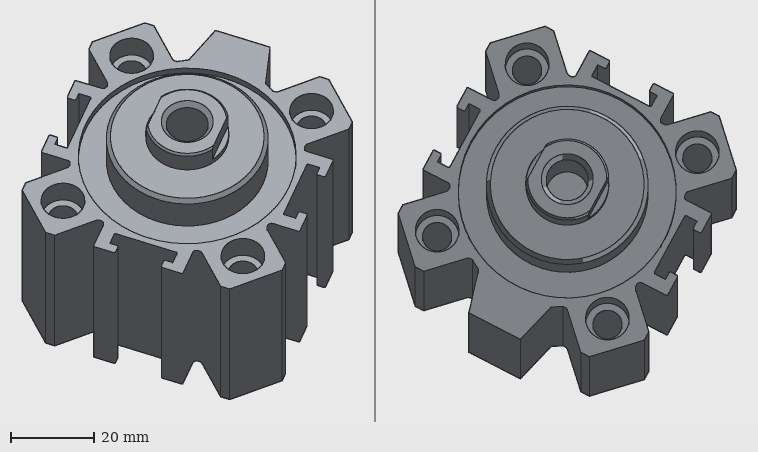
import cadquery as cq
import math

overall_length = 71.0
housing_height = 45.0
collar_top = 53.0
rod_top = 59.0

lug_reach = 33.5
lug_flat_start = 21.4
lug_flat_end = 23.7
valley_depth = 25.5
valley_corner = valley_depth - (lug_reach - lug_flat_start)
lug_root_radius = 1.2

rail_reach = 33.3
rail_half_width = 11.5
rail_root_radius = 1.0
rail_corner_radius = 0.3
slot_half_width = 8.1
slot_mouth_half_width = 5.9
slot_floor = 27.8
lip_underside = 31.0
lip_radius = 0.4
slot_corner_radius = 0.35

boss_reach = overall_length - lug_reach
boss_top_half_width = 7.0
boss_foot_half_width = 9.9
boss_foot = 27.0
boss_valley = 12.35
boss_foot_radius = 0.5

mount_spacing = 46.35
mount_diameter = 7.0
counterbore_diameter = 10.5
counterbore_depth = 6.8

recess_diameter = 52.5
recess_depth = 2.0
collar_diameter = 39.0
collar_chamfer = 1.0

rod_diameter = 20.0
rod_bottom = housing_height - recess_depth
rod_chamfer = 0.5
flat_width = 17.0
flat_height = 4.55
rod_hole_diameter = 10.1
rod_hole_mouth = 12.5
rod_hole_depth = 15.0


def turned(points, angle):
    """Rotate points about the Z axis by an angle in degrees."""
    c = math.cos(math.radians(angle))
    s = math.sin(math.radians(angle))
    return [(x * c - y * s, x * s + y * c) for x, y in points]


def mirrored(half):
    """Complete a side that is symmetric about the Y axis, from its +X half."""
    return half + [(-x, y) for x, y in reversed(half)]


lug_tip = [(lug_flat_end, lug_reach), (lug_flat_start, lug_reach)]
lug_root = (valley_corner, valley_depth)
rail_root = (rail_half_width, valley_depth)
rail_corner = (rail_half_width, rail_reach)
lip_corners = [(slot_mouth_half_width, rail_reach), (slot_mouth_half_width, lip_underside)]
slot_corner = (slot_half_width, slot_floor)
boss_foot_corner = (boss_foot_half_width, boss_foot)
rail_half = [
    lug_root,
    rail_root,
    rail_corner,
    *lip_corners,
    (slot_half_width, lip_underside),
    slot_corner,
]
boss_half = [
    lug_root,
    (boss_valley, valley_depth),
    boss_foot_corner,
    (boss_top_half_width, boss_reach),
]
rail_angles = (90, 180, 270)


def housing_outline():
    """Closed outline, running anticlockwise from the +Y side."""
    outline = []
    for angle in (0, *rail_angles):
        half = boss_half if angle == 0 else rail_half
        side = mirrored(lug_tip + half)
        outline += turned(side, angle)
    return outline


def fillet_uprights(body, points, radius):
    """Round the upright edges of the block standing at the given points."""
    uprights = body.edges("|Z")
    edges = [
        uprights.edges(cq.NearestToPointSelector((x, y, housing_height / 2))).val()
        for x, y in points
    ]
    return body.newObject(edges).fillet(radius)


def make_block():
    block = cq.Workplane("XY").polyline(housing_outline()).close().extrude(housing_height)
    for angle in (0, *rail_angles):
        block = fillet_uprights(block, turned(mirrored([lug_root]), angle), lug_root_radius)
    for angle in rail_angles:
        block = fillet_uprights(block, turned(mirrored([rail_root]), angle), rail_root_radius)
        block = fillet_uprights(block, turned(mirrored([rail_corner]), angle), rail_corner_radius)
        block = fillet_uprights(block, turned(mirrored(lip_corners), angle), lip_radius)
        block = fillet_uprights(block, turned(mirrored([slot_corner]), angle), slot_corner_radius)
    return fillet_uprights(block, mirrored([boss_foot_corner]), boss_foot_radius)


def make_housing():
    recess_floor = housing_height - recess_depth
    recess = (
        cq.Workplane("XY", origin=(0, 0, recess_floor))
        .circle(recess_diameter / 2)
        .extrude(recess_depth)
    )
    collar = (
        cq.Workplane("XY", origin=(0, 0, recess_floor))
        .circle(collar_diameter / 2)
        .extrude(collar_top - recess_floor)
        .faces(">Z")
        .chamfer(collar_chamfer)
    )
    rod_bore = (
        cq.Workplane("XY", origin=(0, 0, rod_bottom))
        .circle(rod_diameter / 2)
        .extrude(collar_top - rod_bottom)
    )
    mounts = (
        cq.Workplane("XY", origin=(0, 0, housing_height))
        .rect(mount_spacing, mount_spacing, forConstruction=True)
        .vertices()
    )
    through_holes = mounts.circle(mount_diameter / 2).extrude(-housing_height)
    counterbores = mounts.circle(counterbore_diameter / 2).extrude(-counterbore_depth)
    return make_block().cut(recess).cut(through_holes).cut(counterbores).union(collar).cut(rod_bore)


def make_rod():
    rod = (
        cq.Workplane("XY", origin=(0, 0, rod_bottom))
        .circle(rod_diameter / 2)
        .extrude(rod_top - rod_bottom)
        .faces(">Z")
        .chamfer(rod_chamfer)
    )
    wrench_cut = (
        cq.Workplane("XY", origin=(0, 0, rod_top))
        .rect(2 * rod_diameter, 2 * rod_diameter)
        .rect(flat_width, 2 * rod_diameter)
        .extrude(-flat_height)
    )
    rod_hole = (
        cq.Workplane("XY", origin=(0, 0, rod_top))
        .circle(rod_hole_diameter / 2)
        .extrude(-rod_hole_depth)
    )
    mouth_depth = (rod_hole_mouth - rod_hole_diameter) / 2
    mouth = (
        cq.Workplane("XY", origin=(0, 0, rod_top))
        .circle(rod_hole_mouth / 2)
        .extrude(-mouth_depth, taper=45)
    )
    return rod.cut(wrench_cut).cut(rod_hole).cut(mouth)


housing = make_housing()
rod = make_rod()
result = cq.Compound.makeCompound([housing.val(), rod.val()])